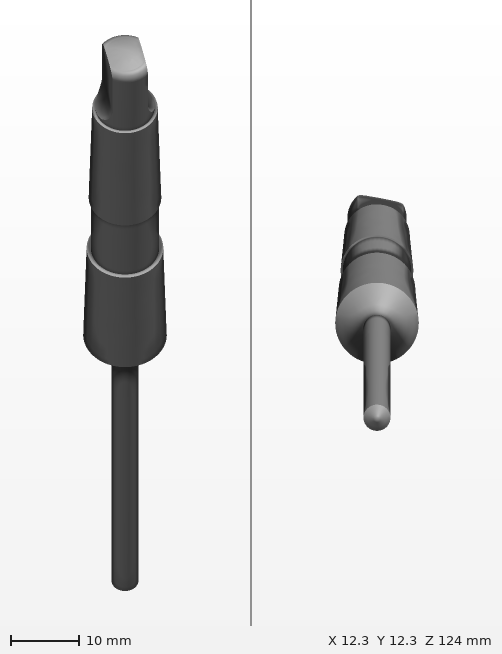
import cadquery as cq
import math

TOTAL_LENGTH = 124.0
CUTTING_LENGTH = 15.9
DRILL_LENGTH = 46.1
CONE_BOTTOM = 55.5
TAPER_BOTTOM = 58.4
RECESS_BOTTOM = 78.6
RECESS_TOP = 90.4
TAPER_TOP = 111.2

DRILL_RADIUS = 4.0 / 2
POINT_ANGLE = 118.0
POINT_HEIGHT = DRILL_RADIUS / math.tan(math.radians(POINT_ANGLE / 2))

TAPER_MAX_RADIUS = 12.3 / 2
TAPER_RATIO = 20.0
RECESS_RADIUS = 10.0 / 2

TANG_RADIUS = 8.7 / 2
TANG_THICKNESS = 5.3
TANG_TURN = -5.0
TANG_RUNOUT_RADIUS = 5.0
TANG_EDGE_RADIUS = 1.2
TANG_FLAT_BOTTOM = 115.2
DOME_HEIGHT = 0.4
DOME_RIM_RADIUS = TANG_RADIUS - TANG_EDGE_RADIUS


def taper_radius(height):
    """Radius of the Morse taper at a given height."""
    return TAPER_MAX_RADIUS - (height - TAPER_BOTTOM) / TAPER_RATIO / 2


def make_drill():
    """Round drill with a conical point."""
    return (
        cq.Workplane("XZ")
        .lineTo(DRILL_RADIUS, POINT_HEIGHT)
        .lineTo(DRILL_RADIUS, CUTTING_LENGTH)
        .lineTo(DRILL_RADIUS, DRILL_LENGTH)
        .lineTo(0, DRILL_LENGTH)
        .close()
        .revolve(360, (0, 0), (0, 1))
    )


def make_turned_shank():
    """Neck, cone, recessed taper and a round tang with a domed end."""
    rim_height = TOTAL_LENGTH - DOME_HEIGHT
    edge_bottom = rim_height - TANG_EDGE_RADIUS
    edge_mid_offset = TANG_EDGE_RADIUS * math.sqrt(0.5)
    edge_mid = (DOME_RIM_RADIUS + edge_mid_offset, edge_bottom + edge_mid_offset)

    dome_radius = (DOME_RIM_RADIUS**2 + DOME_HEIGHT**2) / (2 * DOME_HEIGHT)
    dome_mid_radius = DOME_RIM_RADIUS / 2
    dome_mid_drop = dome_radius - math.sqrt(dome_radius**2 - dome_mid_radius**2)
    dome_mid = (dome_mid_radius, TOTAL_LENGTH - dome_mid_drop)

    return (
        cq.Workplane("XZ")
        .moveTo(0, DRILL_LENGTH)
        .lineTo(DRILL_RADIUS, DRILL_LENGTH)
        .lineTo(DRILL_RADIUS, CONE_BOTTOM)
        .lineTo(TAPER_MAX_RADIUS, TAPER_BOTTOM)
        .lineTo(taper_radius(RECESS_BOTTOM), RECESS_BOTTOM)
        .lineTo(RECESS_RADIUS, RECESS_BOTTOM)
        .lineTo(RECESS_RADIUS, RECESS_TOP)
        .lineTo(taper_radius(RECESS_TOP), RECESS_TOP)
        .lineTo(taper_radius(TAPER_TOP), TAPER_TOP)
        .lineTo(TANG_RADIUS, TAPER_TOP)
        .lineTo(TANG_RADIUS, edge_bottom)
        .threePointArc(edge_mid, (DOME_RIM_RADIUS, rim_height))
        .threePointArc(dome_mid, (0, TOTAL_LENGTH))
        .close()
        .revolve(360, (0, 0), (0, 1))
    )


def make_flat_cutter():
    """Material removed beside the tang on its +Y side, with a rounded runout."""
    flat_y = TANG_THICKNESS / 2
    runout_center_y = flat_y + TANG_RUNOUT_RADIUS
    runout_mid_offset = TANG_RUNOUT_RADIUS * math.sqrt(0.5)
    runout_mid = (runout_center_y - runout_mid_offset, TANG_FLAT_BOTTOM - runout_mid_offset)
    return (
        cq.Workplane("YZ")
        .moveTo(flat_y, TOTAL_LENGTH)
        .lineTo(flat_y, TANG_FLAT_BOTTOM)
        .threePointArc(runout_mid, (runout_center_y, TANG_FLAT_BOTTOM - TANG_RUNOUT_RADIUS))
        .lineTo(runout_center_y, TOTAL_LENGTH)
        .close()
        .extrude(TANG_RADIUS, both=True)
    )


def make_shank():
    """Turned shank with two opposite flats on the tang."""
    shank = make_turned_shank()
    for side_angle in (0, 180):
        cutter = make_flat_cutter().rotate((0, 0, 0), (0, 0, 1), TANG_TURN + side_angle)
        shank = shank.cut(cutter)
    return shank


drill = make_drill()
shank = make_shank()

result = cq.Compound.makeCompound([drill.val(), shank.val()])